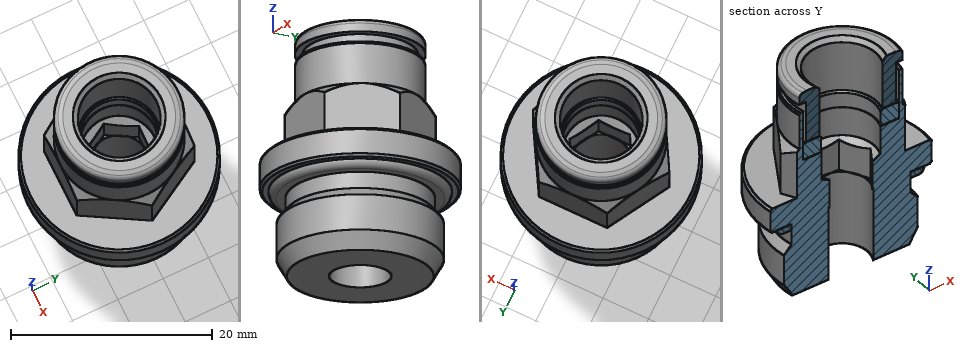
import cadquery as cq
import math


TOTAL_HEIGHT = 25
TIP_TOP = 1.78
THREAD_TOP = 5.52
NECK_BOTTOM = 6.52
FLANGE_BOTTOM = 9
FLANGE_TOP = 12.05
HEX_TOP = 18.05
HOUSING_TOP = 22.55
RING_HEAD_BOTTOM = 23.55

TIP_RADIUS = 7.3
THREAD_RADIUS = 8.32
NECK_RADIUS = 7.45
FLANGE_RADIUS = 10
FLANGE_CHAMFER = 0.25
HEX_ACROSS_FLATS = 13
BARREL_RADIUS = HEX_ACROSS_FLATS / 2
BARREL_CHAMFER_WIDTH = 0.12
BARREL_CHAMFER_HEIGHT = 0.25

SOCKET_RADIUS = 6
SOCKET_BOTTOM = 16.5
TUBE_SEAT_RADIUS = 3.88
TUBE_SEAT_BOTTOM = 13
SEAT_CONE_ANGLE = 30
KEY_ACROSS_FLATS = 6
KEY_BOTTOM = 9
BORE_RADIUS = 3.1

SEAL_RADIUS = 9.12
SEAL_HEIGHT = 0.75

RING_SLEEVE_RADIUS = 5.75
RING_BORE_RADIUS = 4.1
RING_BORE_CHAMFER = 0.5
RING_FLAT_RADIUS = 5.6
RING_SLOPE_RADIUS = 6.08
RING_SLOPE_DROP = 0.08
RING_ROUND_HEIGHT = 0.5

GUIDE_HEIGHT = 2
GUIDE_BORE_RADIUS = 3.9
GUIDE_CHAMFER = 0.2
RING_BOTTOM = SOCKET_BOTTOM + GUIDE_HEIGHT


def revolve_profile(profile):
    """Turn a closed (radius, height) profile a full revolution about Z."""
    return profile.close().revolve(360, (0, 0, 0), (0, 1, 0))


def hex_prism(across_flats, bottom, top):
    """Hexagonal prism about Z with two corners on the X axis."""
    across_corners = across_flats / math.cos(math.radians(30))
    return cq.Workplane("XY").workplane(offset=bottom).polygon(6, across_corners).extrude(top - bottom)


def make_turned_body():
    """Threaded end, neck, flange and barrel."""
    profile = cq.Workplane("XZ").polyline([
        (0, 0),
        (TIP_RADIUS, 0),
        (THREAD_RADIUS, TIP_TOP),
        (THREAD_RADIUS, THREAD_TOP),
        (NECK_RADIUS, NECK_BOTTOM),
        (NECK_RADIUS, FLANGE_BOTTOM),
        (FLANGE_RADIUS - FLANGE_CHAMFER, FLANGE_BOTTOM),
        (FLANGE_RADIUS, FLANGE_BOTTOM + FLANGE_CHAMFER),
        (FLANGE_RADIUS, FLANGE_TOP - FLANGE_CHAMFER),
        (FLANGE_RADIUS - FLANGE_CHAMFER, FLANGE_TOP),
        (BARREL_RADIUS, FLANGE_TOP),
        (BARREL_RADIUS, HOUSING_TOP - BARREL_CHAMFER_HEIGHT),
        (BARREL_RADIUS - BARREL_CHAMFER_WIDTH, HOUSING_TOP),
        (0, HOUSING_TOP),
    ])
    return revolve_profile(profile)


def make_wrench_hex():
    """Outer hexagon with its top corners turned off at 45 degrees."""
    prism = hex_prism(HEX_ACROSS_FLATS, FLANGE_TOP, HEX_TOP)
    cone_base_radius = BARREL_RADIUS + HEX_TOP - FLANGE_TOP
    cone = revolve_profile(cq.Workplane("XZ").polyline([
        (0, FLANGE_TOP),
        (cone_base_radius, FLANGE_TOP),
        (BARREL_RADIUS, HEX_TOP),
        (0, HEX_TOP),
    ]))
    return prism.intersect(cone)


def make_housing_cavity():
    """Ring socket, tube seat ending in a cone, hexagon socket and through bore."""
    cone_depth = TUBE_SEAT_RADIUS * math.tan(math.radians(SEAT_CONE_ANGLE))
    turned = revolve_profile(cq.Workplane("XZ").polyline([
        (0, TUBE_SEAT_BOTTOM - cone_depth),
        (TUBE_SEAT_RADIUS, TUBE_SEAT_BOTTOM),
        (TUBE_SEAT_RADIUS, SOCKET_BOTTOM),
        (SOCKET_RADIUS, SOCKET_BOTTOM),
        (SOCKET_RADIUS, HOUSING_TOP),
        (0, HOUSING_TOP),
    ]))
    key_socket = hex_prism(KEY_ACROSS_FLATS, KEY_BOTTOM, TUBE_SEAT_BOTTOM)
    bore = cq.Workplane("XY").circle(BORE_RADIUS).extrude(KEY_BOTTOM)
    return turned.union(key_socket).union(bore)


def make_housing():
    return make_turned_body().union(make_wrench_hex()).cut(make_housing_cavity())


def make_flange_seal():
    """Flat ring under the flange with a quarter-round lower outer edge."""
    seal_bottom = FLANGE_BOTTOM - SEAL_HEIGHT
    return revolve_profile(
        cq.Workplane("XZ")
        .moveTo(NECK_RADIUS, seal_bottom)
        .lineTo(SEAL_RADIUS - SEAL_HEIGHT, seal_bottom)
        .radiusArc((SEAL_RADIUS, FLANGE_BOTTOM), -SEAL_HEIGHT)
        .lineTo(NECK_RADIUS, FLANGE_BOTTOM)
    )


def make_release_ring():
    """Sleeve standing clear of the socket wall, with a wide head, rounded and slightly sloped at its rim."""
    return revolve_profile(
        cq.Workplane("XZ")
        .moveTo(RING_BORE_RADIUS, RING_BOTTOM)
        .lineTo(RING_SLEEVE_RADIUS, RING_BOTTOM)
        .lineTo(RING_SLEEVE_RADIUS, RING_HEAD_BOTTOM)
        .lineTo(BARREL_RADIUS, RING_HEAD_BOTTOM)
        .lineTo(BARREL_RADIUS, TOTAL_HEIGHT - RING_SLOPE_DROP - RING_ROUND_HEIGHT)
        .radiusArc((RING_SLOPE_RADIUS, TOTAL_HEIGHT - RING_SLOPE_DROP), -RING_ROUND_HEIGHT)
        .lineTo(RING_FLAT_RADIUS, TOTAL_HEIGHT)
        .lineTo(RING_BORE_RADIUS + RING_BORE_CHAMFER, TOTAL_HEIGHT)
        .lineTo(RING_BORE_RADIUS, TOTAL_HEIGHT - RING_BORE_CHAMFER)
    )


def make_tube_guide():
    """Plain sleeve below the release ring with a chamfered lead-in for the tube."""
    return revolve_profile(cq.Workplane("XZ").polyline([
        (GUIDE_BORE_RADIUS, SOCKET_BOTTOM),
        (SOCKET_RADIUS, SOCKET_BOTTOM),
        (SOCKET_RADIUS, RING_BOTTOM),
        (GUIDE_BORE_RADIUS + GUIDE_CHAMFER, RING_BOTTOM),
        (GUIDE_BORE_RADIUS, RING_BOTTOM - GUIDE_CHAMFER),
    ]))


housing = make_housing()
flange_seal = make_flange_seal()
release_ring = make_release_ring()
tube_guide = make_tube_guide()

result = cq.Compound.makeCompound([
    housing.val(),
    flange_seal.val(),
    release_ring.val(),
    tube_guide.val(),
])